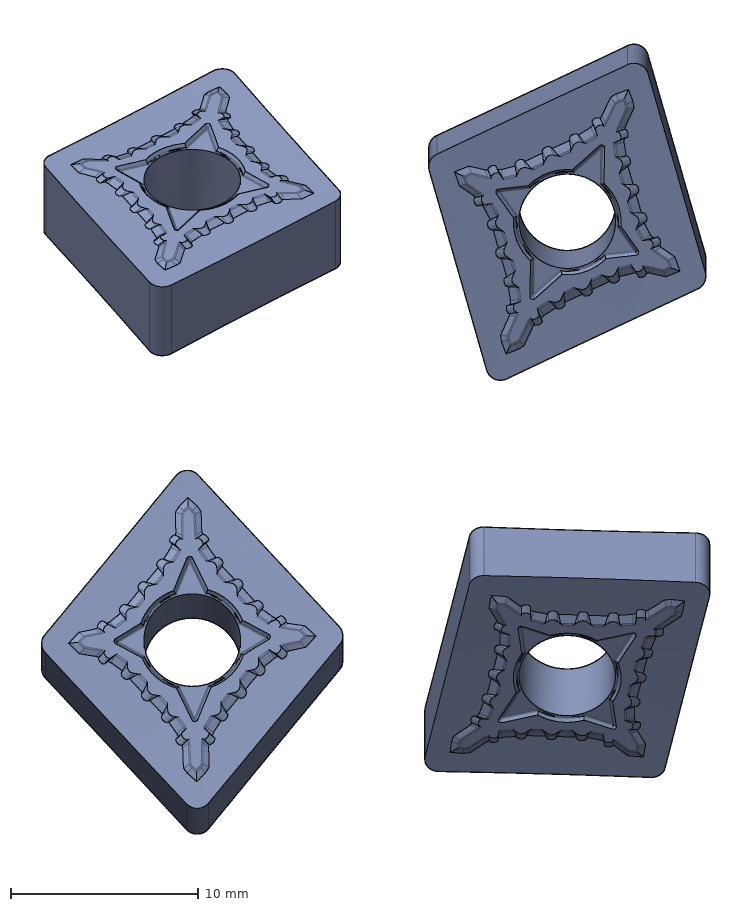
import cadquery as cq
import math


INSCRIBED_DIAMETER = 12.7
LENGTH = 14.83
THICKNESS = 4.86
CORNER_ANGLE = 80.0
HOLE_DIAMETER = 5.16

SIDE_DISTANCE = INSCRIBED_DIAMETER / 2
TOP = THICKNESS / 2
SIDE_SLOPE = math.radians(90 - CORNER_ANGLE)
SHORT_DIAGONAL_ANGLE = math.radians(CORNER_ANGLE / 2)
ACUTE_Y = SIDE_DISTANCE * (1 / math.cos(SIDE_SLOPE) + math.tan(SIDE_SLOPE))
OBTUSE_Y = SIDE_DISTANCE * (1 / math.cos(SIDE_SLOPE) - math.tan(SIDE_SLOPE))
ROUNDING_LOSS = math.tan(SIDE_SLOPE) + 1 / math.cos(SIDE_SLOPE) - 1
CORNER_RADIUS = (ACUTE_Y - LENGTH / 2) / ROUNDING_LOSS

FLOOR_RADIUS = 289.18
FLOOR_CENTRE_Z = 2.21

ROOT_DEPTH = 0.05
WALL_ROOT_Z = FLOOR_CENTRE_Z - ROOT_DEPTH
CREST_DROP = 0.01
CREST_START = 0.8
ACUTE_TIP_FOOT = 1.25
ACUTE_TIP_CREST = 1.65
OBTUSE_TIP_FOOT = 1.29
OBTUSE_TIP_CREST = 1.75
VALLEY_FOOT = 2.42
VALLEY_CREST = 2.97

KNOB_SPACING = 1.62
MIDDLE_KNOB_ALONG = 0.71
MIDDLE_KNOB_FOOT = 2.2
MIDDLE_KNOB_CREST = 2.64
ACUTE_KNOB_ALONG = 3.8
ACUTE_KNOB_FOOT = 1.91
ACUTE_KNOB_CREST = 2.31
OBTUSE_KNOB_ALONG = -2.36
OBTUSE_KNOB_FOOT = 1.85
OBTUSE_KNOB_CREST = 2.25
NOSE_WIDTH = 0.47
NOSE_RISE = 0.09
MIDDLE_BASE_FOOT = 0.68
MIDDLE_BASE_CREST = 1.07
END_BASE_FOOT = 0.5
END_BASE_CREST = 0.6
MIDDLE_REACH = 0.33
END_REACH = 0.47
KNOB_BACK = 0.22

POCKET_DEPTH = 0.21
POCKET_WALL_RUN = 0.16
POCKET_BOTTOM_FILLET = 0.07
POCKET_RADIUS = 2.71
POCKET_ACUTE_TIP = 3.49
POCKET_OBTUSE_TIP = 3.28
POCKET_ACUTE_NECK = 32.8
POCKET_OBTUSE_NECK = 21.6


def on_left_side(along, depth):
    return (depth - SIDE_DISTANCE, along)


def acute_tip(depth):
    """Place at this depth on the diagonal through the acute corners."""
    return (ACUTE_Y - depth / math.tan(math.radians(CORNER_ANGLE / 2)), depth)


def obtuse_tip(depth):
    """Place at this depth on the diagonal through the obtuse corners."""
    return (depth * math.tan(SHORT_DIAGONAL_ANGLE) - OBTUSE_Y, depth)


def mirror_short(point):
    """Mirror a point in the diagonal through the obtuse corners."""
    c = math.cos(2 * SHORT_DIAGONAL_ANGLE)
    s = math.sin(2 * SHORT_DIAGONAL_ANGLE)
    return (point[0] * c + point[1] * s, point[0] * s - point[1] * c)


def turn_half(point):
    return (-point[0], -point[1])


def all_round(left_points):
    """Closed outline from the left side's points, which run acute tip to obtuse tip."""
    bottom_points = [mirror_short(p) for p in reversed(left_points)]
    half = left_points + bottom_points[1:-1]
    return half + [turn_half(p) for p in half]


def floor_z(point):
    return FLOOR_CENTRE_Z + FLOOR_RADIUS - math.sqrt(FLOOR_RADIUS**2 - point[0]**2 - point[1]**2)


def root_stretch(foot, upper_z):
    """Lengthening of a wall that ends at this foot on the floor, to reach the root."""
    return (upper_z - WALL_ROOT_Z) / (upper_z - floor_z(foot))


def extend(start, end, stretch):
    """Point at this share of the way from start to end, past the end if above 1."""
    return tuple(s + (e - s) * stretch for s, e in zip(start, end))


def wire_at(points, z):
    return cq.Wire.makePolygon([cq.Vector(x, y, z) for x, y in points], close=True)


def make_body():
    corners = [(-SIDE_DISTANCE, ACUTE_Y), (-SIDE_DISTANCE, -OBTUSE_Y)]
    corners += [turn_half(p) for p in corners]
    prism = cq.Workplane("XY").polyline(corners).close().extrude(TOP)
    prism = prism.edges("|Z").fillet(CORNER_RADIUS)
    ball = cq.Workplane("XY").sphere(FLOOR_RADIUS).rotate((0, 0, 0), (1, 0, 0), 90)
    return prism.cut(ball.translate((0, 0, FLOOR_CENTRE_Z + FLOOR_RADIUS)))


def make_chip_breaker():
    stations = [
        (acute_tip(ACUTE_TIP_FOOT), acute_tip(ACUTE_TIP_CREST)),
        ((5.38, 1.19), (5.35, 1.63)),
        ((5.03, 1.23), (5.15, 1.65)),
        ((4.15, 1.96), (4.21, 2.4)),
        ((3.35, 2.25), (3.4, 2.83)),
        ((2.08, VALLEY_FOOT), (2.08, VALLEY_CREST)),
        ((-1.19, VALLEY_FOOT), (-1.19, VALLEY_CREST)),
        ((-1.93, 2.27), (-2.09, 2.76)),
        ((-2.71, 1.91), (-2.79, 2.35)),
        ((-3.43, 1.33), (-3.47, 1.78)),
        (obtuse_tip(OBTUSE_TIP_FOOT), obtuse_tip(OBTUSE_TIP_CREST)),
    ]
    roots, shoulders, crests = [], [], []
    for foot_place, crest_place in stations:
        foot = on_left_side(*foot_place)
        crest = on_left_side(*crest_place)
        shoulder = extend(foot, crest, CREST_START)
        roots.append(extend(shoulder, foot, root_stretch(foot, TOP - CREST_DROP)))
        shoulders.append(shoulder)
        crests.append(crest)
    wires = [
        wire_at(all_round(roots), WALL_ROOT_Z),
        wire_at(all_round(shoulders), TOP - CREST_DROP),
        wire_at(all_round(crests), TOP),
    ]
    return cq.Workplane(cq.Solid.makeLoft(wires, True))


def knob_outline(along, nose, base_width, reach):
    """Left-side points of a knob: base corner, flare, nose, flare, base corner, back."""
    places = [
        (along + base_width / 2, nose + reach),
        (along + NOSE_WIDTH / 2, nose + NOSE_RISE),
        (along, nose),
        (along - NOSE_WIDTH / 2, nose + NOSE_RISE),
        (along - base_width / 2, nose + reach),
        (along - base_width / 2, nose + reach + KNOB_BACK),
        (along + base_width / 2, nose + reach + KNOB_BACK),
    ]
    return [on_left_side(*place) for place in places]


def make_knob(along, foot_nose, crest_nose, foot_base, crest_base, reach, place_point):
    feet = knob_outline(along, foot_nose, foot_base, reach)
    crests = knob_outline(along, crest_nose, crest_base, reach)
    stretch = root_stretch(on_left_side(along, foot_nose), TOP)
    roots = [extend(crest, foot, stretch) for crest, foot in zip(crests, feet)]
    wires = []
    for outline, z in ((roots, WALL_ROOT_Z), (crests, TOP)):
        pts = [place_point(p) for p in outline]
        sketch = cq.Workplane("XY", origin=(0, 0, z)).moveTo(*pts[0]).lineTo(*pts[1])
        sketch = sketch.threePointArc(pts[2], pts[3])
        for p in pts[4:]:
            sketch = sketch.lineTo(*p)
        wires.append(sketch.close().val())
    return cq.Solid.makeLoft(wires, True)


def make_knobs():
    middle_shape = (MIDDLE_BASE_FOOT, MIDDLE_BASE_CREST, MIDDLE_REACH)
    end_shape = (END_BASE_FOOT, END_BASE_CREST, END_REACH)
    knobs = [
        (ACUTE_KNOB_ALONG, ACUTE_KNOB_FOOT, ACUTE_KNOB_CREST, *end_shape),
        (OBTUSE_KNOB_ALONG, OBTUSE_KNOB_FOOT, OBTUSE_KNOB_CREST, *end_shape),
    ]
    for step in (-1, 0, 1):
        along = MIDDLE_KNOB_ALONG + step * KNOB_SPACING
        knobs.append((along, MIDDLE_KNOB_FOOT, MIDDLE_KNOB_CREST, *middle_shape))
    sides = [
        lambda p: p,
        mirror_short,
        turn_half,
        lambda p: turn_half(mirror_short(p)),
    ]
    return [make_knob(*knob, side) for side in sides for knob in knobs]


def on_pocket_circle(degrees):
    """Point on the pocket's circle, turned from the left side's normal."""
    angle = math.radians(degrees)
    return (-POCKET_RADIUS * math.cos(angle), POCKET_RADIUS * math.sin(angle))


def make_pocket():
    left = [
        on_left_side(*acute_tip(POCKET_ACUTE_TIP)),
        on_pocket_circle(POCKET_ACUTE_NECK),
        on_pocket_circle(0),
        on_pocket_circle(-POCKET_OBTUSE_NECK),
        on_left_side(*obtuse_tip(POCKET_OBTUSE_TIP)),
    ]
    bottom = [mirror_short(p) for p in reversed(left)]
    sides = [left, bottom]
    sides += [[turn_half(p) for p in side] for side in sides]
    outline = cq.Workplane("XY", origin=(0, 0, TOP - POCKET_DEPTH)).moveTo(*left[0])
    for side in sides:
        outline = outline.lineTo(*side[1]).threePointArc(side[2], side[3]).lineTo(*side[4])
    flare = math.degrees(math.atan(POCKET_WALL_RUN / POCKET_DEPTH))
    pocket = outline.close().extrude(POCKET_DEPTH, taper=-flare)
    return pocket.faces("<Z").edges().fillet(POCKET_BOTTOM_FILLET)


upper_half = make_body().union(make_chip_breaker())
for knob in make_knobs():
    upper_half = upper_half.union(cq.Workplane(knob))
upper_half = upper_half.cut(make_pocket())

hole = cq.Workplane("XY").circle(HOLE_DIAMETER / 2).extrude(THICKNESS, both=True)
result = upper_half.union(upper_half.mirror("XY")).cut(hole).clean()